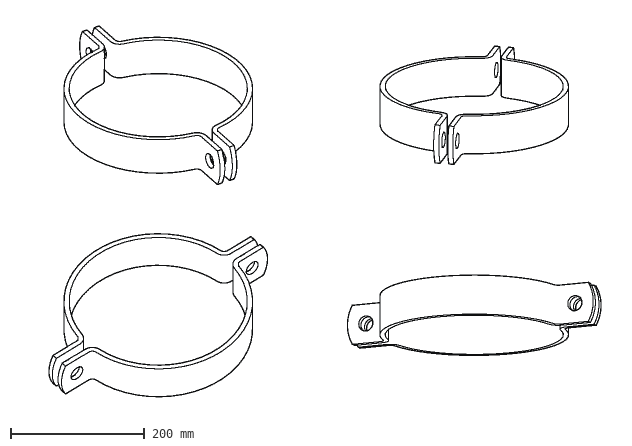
import cadquery as cq
import math

length = 402.0
width = 60.0
ring_outer_radius = 141.0
thickness = 8.0
gap = 13.3

bend_inner_radius = 8.0
ear_end_radius = 60.0
hole_diameter = 23.0
hole_from_tip = 30.0

half_length = length / 2
ring_inner_radius = ring_outer_radius - thickness
bend_outer_radius = bend_inner_radius + thickness
ear_inner_y = gap / 2
ear_outer_y = ear_inner_y + thickness
hole_x = half_length - hole_from_tip

bend_y = ear_outer_y + bend_inner_radius
bend_x = math.sqrt((ring_outer_radius + bend_inner_radius) ** 2 - bend_y**2)
joint_angle = math.atan2(bend_y, bend_x)


def ring_point(radius):
    """Point where the ring meets the bend on the +X side."""
    return (radius * math.cos(joint_angle), radius * math.sin(joint_angle))


def bend_middle(radius):
    """Middle of the bend arc on the +X side."""
    middle_angle = (math.pi + joint_angle + 3 * math.pi / 2) / 2
    return (
        bend_x + radius * math.cos(middle_angle),
        bend_y + radius * math.sin(middle_angle),
    )


def mirrored(point):
    """Matching point on the -X side."""
    return (-point[0], point[1])


def strap_blank():
    """Bent strap of the +Y half, with square ear ends."""
    outer_joint = ring_point(ring_outer_radius)
    inner_joint = ring_point(ring_inner_radius)
    outer_bend = bend_middle(bend_inner_radius)
    inner_bend = bend_middle(bend_outer_radius)
    return (
        cq.Workplane("XY")
        .moveTo(half_length, ear_outer_y)
        .lineTo(bend_x, ear_outer_y)
        .threePointArc(outer_bend, outer_joint)
        .threePointArc((0, ring_outer_radius), mirrored(outer_joint))
        .threePointArc(mirrored(outer_bend), (-bend_x, ear_outer_y))
        .lineTo(-half_length, ear_outer_y)
        .lineTo(-half_length, ear_inner_y)
        .lineTo(-bend_x, ear_inner_y)
        .threePointArc(mirrored(inner_bend), mirrored(inner_joint))
        .threePointArc((0, ring_inner_radius), inner_joint)
        .threePointArc(inner_bend, (bend_x, ear_inner_y))
        .lineTo(half_length, ear_inner_y)
        .close()
        .extrude(width / 2, both=True)
    )


def ear_envelope():
    """Block along Y whose curved ends give the ears their rounded tips."""
    half_width = width / 2
    tip_depth = ear_end_radius - math.sqrt(ear_end_radius**2 - half_width**2)
    corner_x = half_length - tip_depth
    return (
        cq.Workplane("XZ")
        .moveTo(-corner_x, -half_width)
        .lineTo(corner_x, -half_width)
        .threePointArc((half_length, 0), (corner_x, half_width))
        .lineTo(-corner_x, half_width)
        .threePointArc((-half_length, 0), (-corner_x, -half_width))
        .close()
        .extrude(ring_outer_radius, both=True)
    )


def bolt_holes():
    """Cutters for the bolt hole through each ear."""
    return (
        cq.Workplane("XZ")
        .pushPoints([(-hole_x, 0), (hole_x, 0)])
        .circle(hole_diameter / 2)
        .extrude(ear_outer_y, both=True)
    )


def clamp_half(turn):
    """One clamp half, turned about Z by the given angle in degrees."""
    half = strap_blank().intersect(ear_envelope()).cut(bolt_holes())
    return half.rotate((0, 0, 0), (0, 0, 1), turn)


clamp_halves = [clamp_half(turn) for turn in (0, 180)]

result = cq.Compound.makeCompound([half.solids().val() for half in clamp_halves])